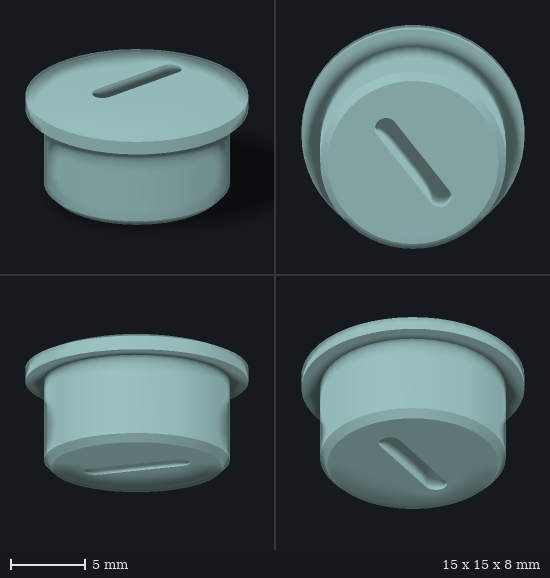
import cadquery as cq
import math

total_height = 8.0
head_diameter = 15.0
shank_diameter = 12.5
shank_height = 6.0

crown_diameter = 6.0
dome_radius = 10.0

shank_chamfer = 0.5

slot_length = 7.5
slot_width = 1.5

head_radius = head_diameter / 2
shank_radius = shank_diameter / 2
crown_radius = crown_diameter / 2


def dome_height(radius):
    """Height of the dome surface at a given distance from the axis."""
    drop = dome_radius - math.sqrt(dome_radius**2 - (radius - crown_radius) ** 2)
    return total_height - drop


def make_body():
    """Revolve the half profile of shank and domed head about Z."""
    middle_radius = (crown_radius + head_radius) / 2
    profile = (
        cq.Workplane("XZ")
        .moveTo(0, 0)
        .lineTo(shank_radius - shank_chamfer, 0)
        .lineTo(shank_radius, shank_chamfer)
        .lineTo(shank_radius, shank_height)
        .lineTo(head_radius, shank_height)
        .lineTo(head_radius, dome_height(head_radius))
        .threePointArc(
            (middle_radius, dome_height(middle_radius)),
            (crown_radius, total_height),
        )
        .lineTo(0, total_height)
        .close()
    )
    return profile.revolve(360, (0, 0, 0), (0, 1, 0))


def make_slot():
    """Round-ended cutter passing through the full height."""
    return cq.Workplane("XY").slot2D(slot_length, slot_width, 90).extrude(total_height)


result = make_body().cut(make_slot())